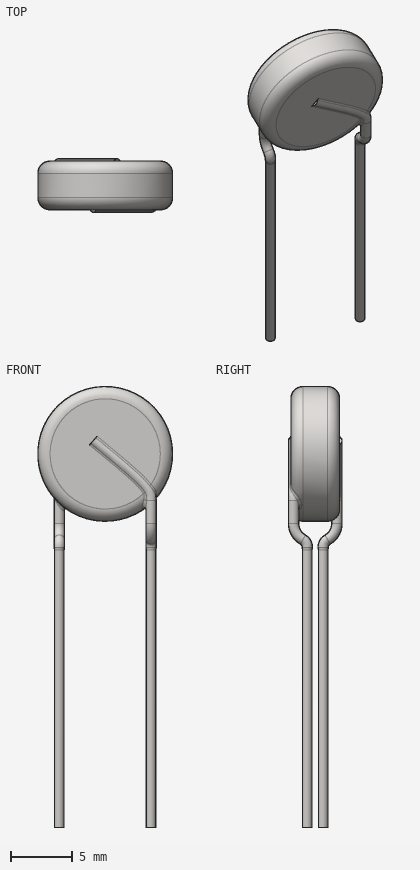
import cadquery as cq
import math

disc_diameter = 11.0
disc_thickness = 4.0
disc_edge_radius = 1.0

overall_height = 36.0
overall_depth = 4.4
coating_diameter = 0.85
wire_diameter = 0.8
lead_pitch = 7.5
wire_row_spacing = 1.3

run_end_x = -0.97
run_end_z = 1.08
run_slope = 41.0
run_bend_radius = 1.75
coating_fillet_radius = 0.2

joggle_top_z = -5.7
joggle_angle = 60.0
outer_bend_radius = 1.5
coating_taper_length = 0.2

lead_x = lead_pitch / 2
lead_bottom_z = disc_diameter / 2 - overall_height
coating_y = -(overall_depth - coating_diameter) / 2
wire_y = -wire_row_spacing / 2

joggle = math.radians(joggle_angle)
bend_change_y = coating_y + outer_bend_radius * (1 - math.cos(joggle))
bend_change_z = joggle_top_z - outer_bend_radius * math.sin(joggle)
inner_bend_radius = (wire_y - bend_change_y) / (1 - math.cos(joggle))
coating_end_z = bend_change_z - inner_bend_radius * math.sin(joggle)


def make_disc():
    back_face = cq.Workplane("XZ", origin=(0, disc_thickness / 2, 0))
    disc = back_face.circle(disc_diameter / 2).extrude(disc_thickness)
    return disc.faces("|Y").edges().fillet(disc_edge_radius)


def make_run():
    """Coated tube that slopes across the -Y face and curves smoothly into the drop.

    The curve passes the point where a circular bend would begin and ends where it would end.
    """
    slope = math.radians(run_slope)
    corner_z = run_end_z - (lead_x - run_end_x) * math.tan(slope)
    tangent_length = run_bend_radius * math.tan((math.pi / 2 - slope) / 2)
    bend_start_x = lead_x - tangent_length * math.cos(slope)
    bend_start_z = corner_z + tangent_length * math.sin(slope)
    path = (
        cq.Workplane("XZ", origin=(0, coating_y, 0))
        .moveTo(run_end_x, run_end_z)
        .spline(
            [(bend_start_x, bend_start_z), (lead_x, corner_z - tangent_length)],
            tangents=[(math.cos(slope), -math.sin(slope)), (0, -1)],
            includeCurrent=True,
        )
        .lineTo(lead_x, joggle_top_z)
    )
    run_start = cq.Plane(
        origin=(run_end_x, coating_y, run_end_z),
        xDir=(0, 1, 0),
        normal=(math.cos(slope), 0, -math.sin(slope)),
    )
    return cq.Workplane(run_start).circle(coating_diameter / 2).sweep(path)


def make_joggle():
    """Coated S-bend that carries the drop inwards to the wire row."""
    path = (
        cq.Workplane("YZ", origin=(lead_x, 0, 0))
        .moveTo(coating_y, joggle_top_z)
        .radiusArc((bend_change_y, bend_change_z), -outer_bend_radius)
        .tangentArcPoint((wire_y, coating_end_z), relative=False)
    )
    joggle_top = cq.Workplane("XY", origin=(lead_x, coating_y, joggle_top_z))
    return joggle_top.circle(coating_diameter / 2).sweep(path)


def make_wire():
    """Bare wire, with the coating tapering down to it at the top."""
    wire_top = cq.Workplane("XY", origin=(lead_x, wire_y, coating_end_z))
    wire = wire_top.circle(wire_diameter / 2).extrude(lead_bottom_z - coating_end_z)
    taper = (
        wire_top.circle(coating_diameter / 2)
        .workplane(offset=-coating_taper_length)
        .circle(wire_diameter / 2)
        .loft()
    )
    return wire.union(taper)


def add_front_lead(body):
    """Join a lead to the -Y face, with a coating fillet along both sides of its run."""
    body = body.union(make_run())
    run_sides = body.faces("|Y").faces("<Y").edges("%BSPLINE")
    body = run_sides.fillet(coating_fillet_radius)
    return body.union(make_joggle()).union(make_wire())


half_turned = add_front_lead(make_disc()).rotate((0, 0, 0), (0, 0, 1), 180)
result = add_front_lead(half_turned).rotate((0, 0, 0), (0, 0, 1), 180)